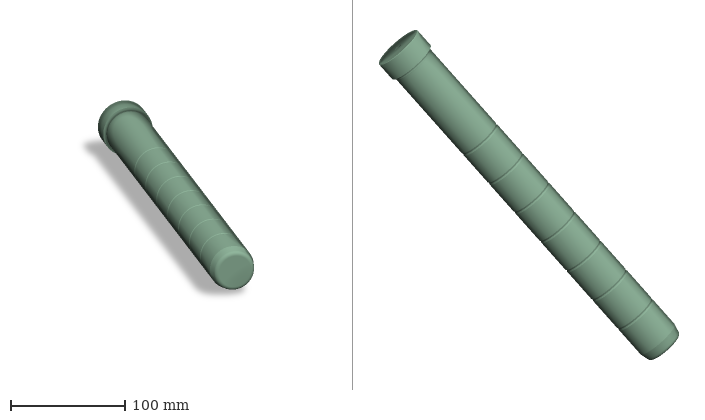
import cadquery as cq
import math

length = 360.0
head_diameter = 45.0
head_length = 18.0
head_chamfer = 0.55
shank_diameter = 40.0

undercut_width = 2.5
undercut_floor = 1.5
undercut_depth = 0.55

groove_count = 7
first_groove_x = 110.0
groove_pitch = 35.0
groove_width = 3.0
groove_depth = 0.7

taper_start_x = 350.0
taper_angle = 14.0
tip_round = 3.5

centre_mouth_diameter = 7.0
centre_mouth_angle = 120.0
centre_cone_diameter = 4.5
centre_cone_angle = 60.0
centre_pilot_diameter = 2.0
centre_pilot_depth = 7.2

head_radius = head_diameter / 2
shank_radius = shank_diameter / 2


def revolve_about_x(points):
    """Revolve a closed (x, radius) outline around the X axis."""
    outline = cq.Workplane("XY").polyline(points).close()
    return outline.revolve(360, (0, 0, 0), (1, 0, 0))


def pin_body():
    """Head, undercut, shank and tapered tip with its rounded edge."""
    undercut_radius = shank_radius - undercut_depth
    undercut_end_x = head_length + undercut_width
    taper_drop = (length - taper_start_x) * math.tan(math.radians(taper_angle))
    body = revolve_about_x([
        (0, 0),
        (0, head_radius - head_chamfer),
        (head_chamfer, head_radius),
        (head_length, head_radius),
        (head_length, undercut_radius),
        (head_length + undercut_floor, undercut_radius),
        (undercut_end_x, shank_radius),
        (taper_start_x, shank_radius),
        (length, shank_radius - taper_drop),
        (length, 0),
    ])
    return body.faces(">X").edges().fillet(tip_round)


def groove_ring(centre_x):
    """Ring with a V-shaped inner edge, cut to form one lubrication groove."""
    bottom_radius = shank_radius - groove_depth
    return revolve_about_x([
        (centre_x - groove_width / 2, shank_radius),
        (centre_x, bottom_radius),
        (centre_x + groove_width / 2, shank_radius),
        (centre_x, head_radius),
    ])


def cone_depth(large_radius, small_radius, included_angle):
    """Axial length of a cone narrowing from one radius to another."""
    return (large_radius - small_radius) / math.tan(math.radians(included_angle / 2))


def centre_drilling():
    """Pilot hole with a centring cone and a wider protective cone at its mouth."""
    mouth_radius = centre_mouth_diameter / 2
    cone_radius = centre_cone_diameter / 2
    pilot_radius = centre_pilot_diameter / 2
    cone_start_x = cone_depth(mouth_radius, cone_radius, centre_mouth_angle)
    cone_end_x = cone_start_x + cone_depth(cone_radius, pilot_radius, centre_cone_angle)
    return revolve_about_x([
        (0, 0),
        (0, mouth_radius),
        (cone_start_x, cone_radius),
        (cone_end_x, pilot_radius),
        (centre_pilot_depth, pilot_radius),
        (centre_pilot_depth, 0),
    ])


result = pin_body().cut(centre_drilling())
for index in range(groove_count):
    result = result.cut(groove_ring(first_groove_x + index * groove_pitch))